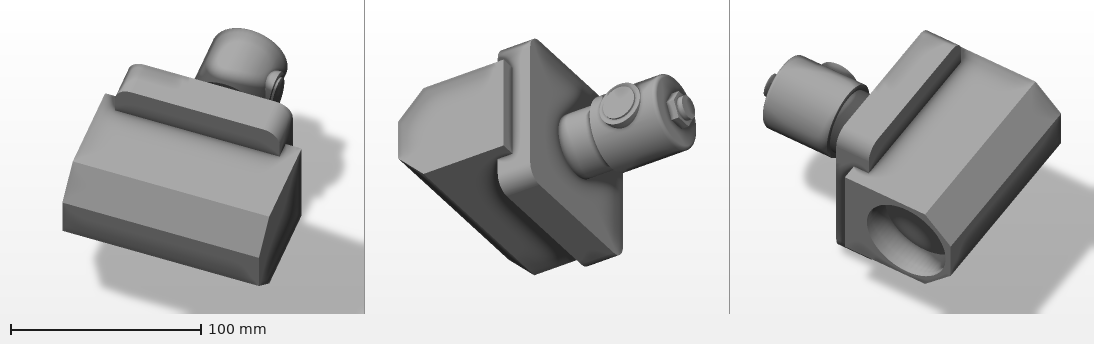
import cadquery as cq

block_length = 110.0
block_height = block_length / 2
block_depth = 65.5
block_chamfer = 15.9
bore_radius = 24.4
bore_depth = 18.0
bore_center_y = block_height / 2

flange_front = 56.3
flange_back = 76.5
cap_front = 97.7
cap_back = 138.3
nut_back = 142.8
tip_back = 145.9

flange_size = 92.0
flange_corner_radius = 9.0
stem_radius = 18.0
cap_radius = 21.2
cap_edge_radius = 2.0
nut_across_corners = 19.5
tip_radius = 6.5

port_center_y = 116.8
port_radius = 12.5
port_reach = 21.9
port_face_radius = 9.6
port_face_reach = 23.0


def plane_facing_back(y):
    """Sketch plane at station y whose extrusions run toward +Y."""
    return cq.Workplane("XZ", origin=(0, y, 0)).transformed(rotate=(180, 0, 0))


def rod(radius, start_y, end_y):
    """Round bar on the Y axis between two stations."""
    return plane_facing_back(start_y).circle(radius).extrude(end_y - start_y)


def block_blank():
    """Chamfered bar before the bore is cut."""
    bar = cq.Workplane("XY").box(block_length, block_depth, block_height)
    bar = bar.translate((0, block_depth / 2, 0))
    return bar.faces("<Y").edges("|X").chamfer(block_chamfer)


def make_block():
    """Bar with a blind round bore in its -X end."""
    bore = (
        cq.Workplane("YZ", origin=(-block_length / 2, 0, 0))
        .center(bore_center_y, 0)
        .circle(bore_radius)
        .extrude(bore_depth)
    )
    return block_blank().cut(bore)


def make_flange():
    """Rounded square plate with a channel that seats the back of the block."""
    plate = (
        plane_facing_back(flange_front)
        .rect(flange_size, flange_size)
        .extrude(flange_back - flange_front)
        .edges("|Y")
        .fillet(flange_corner_radius)
    )
    return plate.cut(block_blank())


def make_cap():
    """Round cap with a rounded back rim and a stepped side port."""
    cap = rod(cap_radius, cap_front, cap_back).faces(">Y").edges().fillet(cap_edge_radius)
    port_plane = cq.Workplane("YZ", origin=(0, port_center_y, 0))
    port = port_plane.circle(port_radius).extrude(port_reach)
    port_face = port_plane.circle(port_face_radius).extrude(port_face_reach)
    return cap.union(port).union(port_face)


def make_actuator():
    """Flange, stem, cap, hexagonal nut and tip in one piece."""
    stem = rod(stem_radius, flange_back, cap_front)
    nut = plane_facing_back(cap_back).polygon(6, nut_across_corners).extrude(nut_back - cap_back)
    tip = rod(tip_radius, nut_back, tip_back)
    return make_flange().union(stem).union(make_cap()).union(nut).union(tip)


block = make_block()
actuator = make_actuator()

result = cq.Compound.makeCompound([block.val(), actuator.val()])